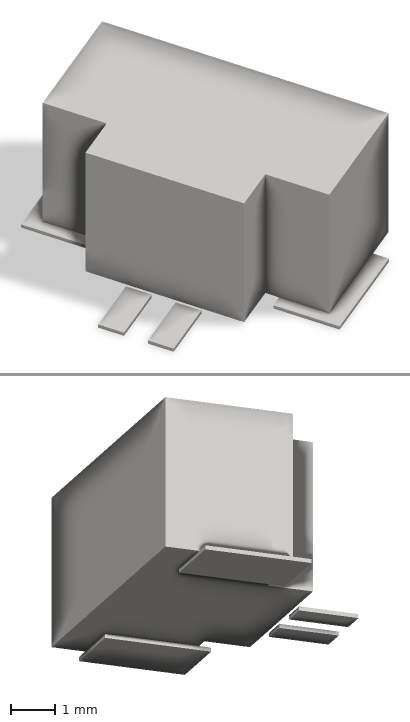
import cadquery as cq

housing_width = 7.23
housing_height = 3.605
block_depth = 3.1
nose_width = 4.0
nose_depth = 1.11

pad_thickness = 0.1
overall_width = 8.03
side_pad_width = 1.67
side_pad_depth = 2.58
side_pad_setback = 0.82
contact_width = 0.65
contact_depth = 1.445
contact_pitch = 1.25
contact_gap = 0.065

block_front_y = -block_depth
nose_front_y = block_front_y - nose_depth


def make_box(width, depth, height, center_x, back_y, bottom_z):
    """Box centred on center_x, reaching from back_y toward -Y and up from bottom_z."""
    return (
        cq.Workplane("XY")
        .box(width, depth, height, centered=(True, False, False))
        .translate((center_x, back_y - depth, bottom_z))
    )


def make_housing():
    block = make_box(housing_width, block_depth, housing_height, 0, 0, pad_thickness)
    nose = make_box(nose_width, nose_depth, housing_height, 0, block_front_y, pad_thickness)
    return block.union(nose)


def make_side_pad(side):
    center_x = side * (overall_width - side_pad_width) / 2
    return make_box(side_pad_width, side_pad_depth, pad_thickness, center_x, -side_pad_setback, 0)


def make_contact(side):
    center_x = side * contact_pitch / 2
    back_y = nose_front_y - contact_gap
    return make_box(contact_width, contact_depth, pad_thickness, center_x, back_y, 0)


housing = make_housing()
side_pads = [make_side_pad(side) for side in (-1, 1)]
contacts = [make_contact(side) for side in (-1, 1)]

result = cq.Compound.makeCompound(
    [housing.val()]
    + [pad.val() for pad in side_pads]
    + [contact.val() for contact in contacts]
)